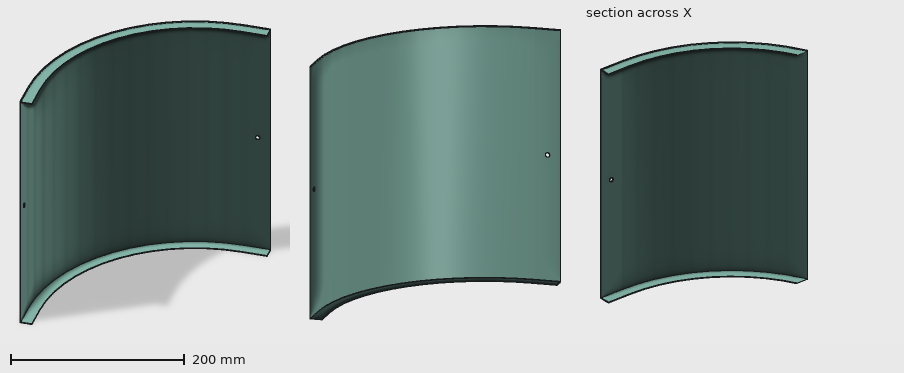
import cadquery as cq
import math

height = 302.0
side = 232.0
straight_length = 31.0
flange_depth = 14.5
sheet = 1.0
hole_diameter = 5.0

bend_radius = side - straight_length
half_side = side / 2
half_height = height / 2
bend_center = half_side - straight_length
hole_position = half_side - straight_length / 2


def curved_band(depth, band_height, bottom):
    """Quarter bend with straight ends, reaching inward by depth from the outer face."""
    outer = half_side
    inner = half_side - depth
    outer_reach = bend_radius * math.sqrt(0.5)
    inner_reach = (bend_radius - depth) * math.sqrt(0.5)
    return (
        cq.Workplane("XY", origin=(0, 0, bottom))
        .moveTo(-outer, -half_side)
        .lineTo(-outer, -bend_center)
        .threePointArc((bend_center - outer_reach, outer_reach - bend_center), (bend_center, outer))
        .lineTo(half_side, outer)
        .lineTo(half_side, inner)
        .lineTo(bend_center, inner)
        .threePointArc((bend_center - inner_reach, inner_reach - bend_center), (-inner, -bend_center))
        .lineTo(-inner, -half_side)
        .close()
        .extrude(band_height)
    )


wall = curved_band(sheet, height, -half_height)
bottom_flange = curved_band(flange_depth, sheet, -half_height)
top_flange = curved_band(flange_depth, sheet, half_height - sheet)
panel = wall.union(bottom_flange).union(top_flange)

hole_length = 2 * flange_depth
hole_radius = hole_diameter / 2
holes = [
    (cq.Vector(hole_position, half_side - flange_depth, 0), cq.Vector(0, 1, 0)),
    (cq.Vector(-half_side + flange_depth, -hole_position, 0), cq.Vector(-1, 0, 0)),
]
for start, direction in holes:
    panel = panel.cut(cq.Workplane(cq.Solid.makeCylinder(hole_radius, hole_length, start, direction)))

result = panel